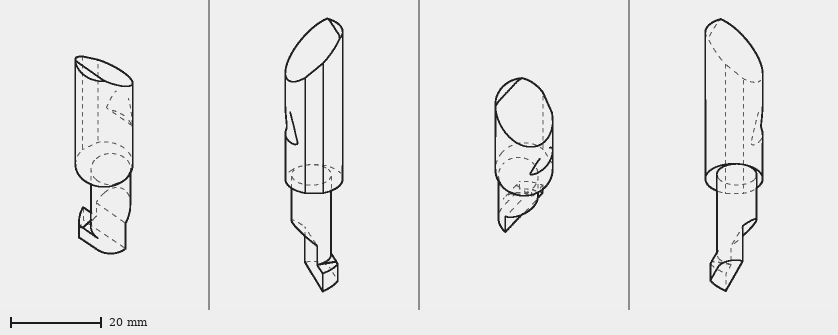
import cadquery as cq
import math

total_length = 63.5
shank_radius = 6.35
shank_base_z = 25.4
bevel_axis_z = 58.8
end_chamfer_width = 0.65
end_chamfer_height = 0.2
flat_angle = 36.0

notch_depth = 1.3
notch_base_z = 37.0
notch_top_z = 46.2
notch_corner_radius = 0.8

neck_radius = 4.4
neck_x = shank_radius - neck_radius
half_cut_z = 9.5
rake_y = 0.05

head_height = 4.65
head_step_height = 0.1
head_step_x = neck_x - neck_radius
tip_x = -6.2
head_corner_x = -3.5
flank_radius = 10.15
relief_rise_x = 0.45
relief_rise_y = 0.2

margin = 3.2


def prism_along_x(outline):
    """Extrude an outline of (y, z) points across the full width of the part."""
    half_width = shank_radius + margin
    return outline.extrude(half_width, both=True)


def make_shank():
    body = cq.Workplane("XY").workplane(offset=shank_base_z).circle(shank_radius)
    body = body.extrude(total_length - shank_base_z)
    body = body.faces(">Z").edges().chamfer(end_chamfer_height, end_chamfer_width)

    reach = shank_radius + margin
    bevel = prism_along_x(
        cq.Workplane("YZ").polyline([
            (-reach, bevel_axis_z + reach),
            (reach, bevel_axis_z - reach),
            (reach, bevel_axis_z + reach),
        ]).close()
    )

    angle = math.radians(flat_angle)
    flat_end = (-shank_radius * math.cos(angle), shank_radius * math.sin(angle))
    flat = (
        cq.Workplane("XY").workplane(offset=shank_base_z)
        .moveTo(-shank_radius, 0)
        .lineTo(*flat_end)
        .lineTo(-reach, flat_end[1])
        .lineTo(-reach, 0)
        .close()
        .extrude(total_length)
    )
    return body.cut(bevel).cut(flat)


def make_notch():
    floor_y = shank_radius - notch_depth
    corner_y = floor_y + notch_corner_radius
    corner_z = notch_base_z + notch_corner_radius
    run_y = shank_radius - corner_y
    run_z = notch_top_z - corner_z
    tangent_angle = math.atan2(run_z, run_y) + math.acos(notch_corner_radius / math.hypot(run_y, run_z))
    middle_angle = (tangent_angle + 1.5 * math.pi) / 2

    def on_corner(angle):
        return (
            corner_y + notch_corner_radius * math.cos(angle),
            corner_z + notch_corner_radius * math.sin(angle),
        )

    return prism_along_x(
        cq.Workplane("YZ")
        .moveTo(shank_radius, notch_top_z)
        .lineTo(*on_corner(tangent_angle))
        .threePointArc(on_corner(middle_angle), (corner_y, notch_base_z))
        .lineTo(shank_radius + margin, notch_base_z)
        .lineTo(shank_radius + margin, notch_top_z)
        .close()
    )


def make_neck():
    neck = cq.Workplane("XY").center(neck_x, 0).circle(neck_radius).extrude(shank_base_z)
    reach = neck_radius + margin
    half_cut = prism_along_x(
        cq.Workplane("YZ").polyline([
            (rake_y, -margin),
            (rake_y, half_cut_z),
            (reach, half_cut_z + reach - rake_y),
            (reach, -margin),
        ]).close()
    )
    return neck.cut(half_cut)


def make_head():
    head = (
        cq.Workplane("XY")
        .moveTo(tip_x, rake_y)
        .radiusArc((head_corner_x, -neck_radius), -flank_radius)
        .lineTo(neck_x, -neck_radius)
        .lineTo(neck_x, rake_y)
        .close()
        .extrude(head_height)
    )
    step = cq.Workplane("XY").box(
        neck_x - head_step_x, neck_radius + rake_y, head_height + head_step_height, centered=False
    ).translate((head_step_x, -neck_radius, 0))
    return head.union(step)


def make_end_relief():
    """Wedge below the end face, which rises from the tip toward +X and -Y."""
    length = shank_radius - tip_x
    slope_x = math.degrees(math.atan(relief_rise_x / length))
    slope_y = math.degrees(math.atan(relief_rise_y / neck_radius))
    size = 3 * length
    block = cq.Workplane("XY").box(size, size, margin, centered=(True, True, False))
    block = block.translate((0, 0, -margin))
    block = block.rotate((0, 0, 0), (1, 0, 0), -slope_y)
    block = block.rotate((0, 0, 0), (0, 1, 0), -slope_x)
    return block.translate((tip_x, rake_y, 0))


shank = make_shank().cut(make_notch())
tool_end = make_neck().union(make_head()).cut(make_end_relief())
result = shank.union(tool_end)